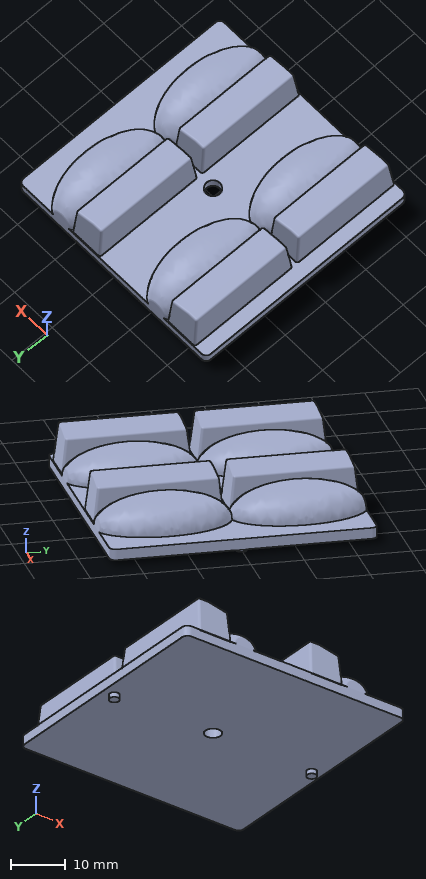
import cadquery as cq
import math

PLATE_SIZE = 50.0
PLATE_THICKNESS = 2.15
PLATE_CORNER_RADIUS = 1.2
CENTRE_HOLE_DIAMETER = 3.3

PIN_DIAMETER = 2.0
PIN_LENGTH = 1.0
PIN_OFFSET = 22.5

UNIT_PITCH = 25.4

BLOCK_HEIGHT = 7.6
BLOCK_LOW_HEIGHT = 6.65
BLOCK_BASE_LEFT = -9.2
BLOCK_TOP_LEFT = -8.7
BLOCK_RIDGE = -6.3
BLOCK_TOP_RIGHT = -2.05
BLOCK_BASE_RIGHT = -1.8
BLOCK_BASE_HALF_LENGTH = 12.15
BLOCK_TOP_HALF_LENGTH = 11.25
BLOCK_EDGE_RADIUS = 0.5

DOME_CENTRE_X = 1.05
DOME_SEMI_X = 7.1
DOME_SEMI_Y = 12.95
DOME_HEIGHT = 5.9
DOME_LEAN = 0.07

CAP_DRAFT_ANGLE = 6.0
CAP_EDGE_RADIUS = 0.6


def make_plate():
    plate = cq.Workplane("XY").box(
        PLATE_SIZE, PLATE_SIZE, PLATE_THICKNESS, centered=(True, True, False)
    )
    return plate.edges("|Z").fillet(PLATE_CORNER_RADIUS)


def make_pins():
    return (
        cq.Workplane("XY")
        .pushPoints([(-PIN_OFFSET, 0), (PIN_OFFSET, 0)])
        .circle(PIN_DIAMETER / 2)
        .extrude(-PIN_LENGTH)
    )


def make_block():
    """Intersect the end profile with the side profile, then round all edges off the plate."""
    end_profile = (
        cq.Workplane("XZ")
        .polyline([
            (BLOCK_BASE_LEFT, 0),
            (BLOCK_TOP_LEFT, BLOCK_HEIGHT),
            (BLOCK_RIDGE, BLOCK_HEIGHT),
            (BLOCK_TOP_RIGHT, BLOCK_LOW_HEIGHT),
            (BLOCK_BASE_RIGHT, 0),
        ])
        .close()
        .extrude(BLOCK_BASE_HALF_LENGTH, both=True)
    )
    side_profile = (
        cq.Workplane("YZ")
        .polyline([
            (-BLOCK_BASE_HALF_LENGTH, 0),
            (-BLOCK_TOP_HALF_LENGTH, BLOCK_HEIGHT),
            (BLOCK_TOP_HALF_LENGTH, BLOCK_HEIGHT),
            (BLOCK_BASE_HALF_LENGTH, 0),
        ])
        .close()
        .extrude(UNIT_PITCH / 2, both=True)
    )
    block = end_profile.intersect(side_profile)
    return block.edges("not(<Z)").fillet(BLOCK_EDGE_RADIUS)


def make_dome():
    """Stretch a unit half-ball into a leaning half-ellipsoid and trim it to the plate edge.

    The dome is centred on the unit origin; its +Y end carries the filleted cap.
    """
    half_ball = (
        cq.Workplane("XY")
        .moveTo(0, -1)
        .threePointArc((1, 0), (0, 1))
        .close()
        .revolve(180, (0, 0), (0, -1))
        .val()
    )
    stretch = cq.Matrix([
        [DOME_SEMI_X, 0, DOME_LEAN * DOME_HEIGHT, DOME_CENTRE_X],
        [0, DOME_SEMI_Y, 0, 0],
        [0, 0, DOME_HEIGHT, 0],
    ])
    dome = cq.Workplane("XY").newObject([half_ball.transformGeometry(stretch)])

    cap_base_y = (PLATE_SIZE - UNIT_PITCH) / 2
    cap_top_y = cap_base_y - BLOCK_HEIGHT * math.tan(math.radians(CAP_DRAFT_ANGLE))
    inside_cap = (
        cq.Workplane("YZ")
        .polyline([
            (-UNIT_PITCH, 0),
            (-UNIT_PITCH, BLOCK_HEIGHT),
            (cap_top_y, BLOCK_HEIGHT),
            (cap_base_y, 0),
        ])
        .close()
        .extrude(UNIT_PITCH, both=True)
    )
    dome = dome.intersect(inside_cap)
    return dome.faces(">Y").edges("not(<Z)").fillet(CAP_EDGE_RADIUS)


def make_part():
    part = make_plate()
    block = make_block()
    back_dome = make_dome()
    front_dome = back_dome.mirror("XZ")
    for x_side in (-1, 1):
        for y_side, dome in ((-1, front_dome), (1, back_dome)):
            unit_place = (x_side * UNIT_PITCH / 2, y_side * UNIT_PITCH / 2, PLATE_THICKNESS)
            part = part.union(block.translate(unit_place))
            part = part.union(dome.translate(unit_place))
    part = part.union(make_pins())
    centre_hole = (
        cq.Workplane("XY").circle(CENTRE_HOLE_DIAMETER / 2).extrude(PLATE_THICKNESS)
    )
    return part.cut(centre_hole)


result = make_part()